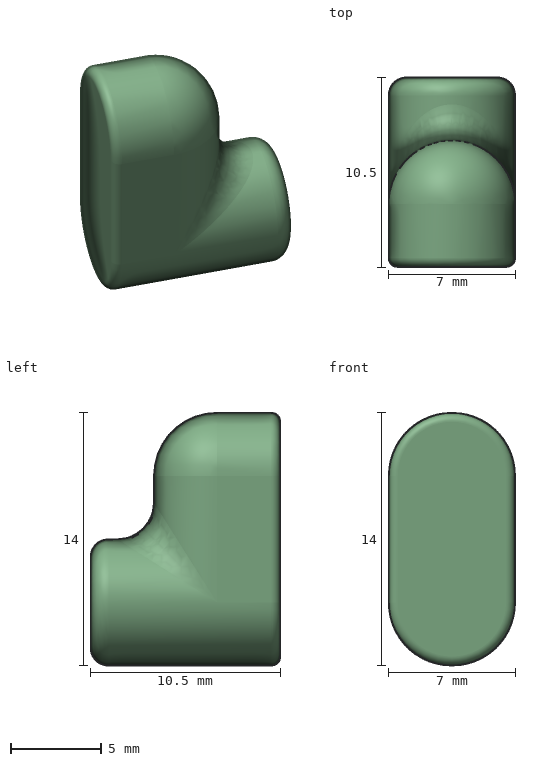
import cadquery as cq

width = 7.0
height = 14.0
depth = 10.5
plate_depth = 3.5
front_round = 0.5
back_round = 1.0
neck_round = 2.0

radius = width / 2
lower_z = radius
upper_z = height - radius


def front_plate():
    """Upright obround plate with its front face at Y = 0."""
    plate = (
        cq.Workplane("XZ", origin=(0, 0, height / 2))
        .slot2D(height, width, 90)
        .extrude(-plate_depth)
    )
    return plate.faces("<Y").edges().fillet(front_round)


def lower_barrel():
    """Horizontal cylinder behind the plate with a rounded end and its seam at the bottom."""
    barrel = (
        cq.Workplane("XZ", origin=(0, plate_depth, lower_z))
        .circle(radius)
        .extrude(-(depth - plate_depth))
    )
    barrel = barrel.rotate((0, 0, lower_z), (0, 1, lower_z), 90)
    return barrel.faces(">Y").edges().fillet(back_round)


def upright_back():
    """Vertical half-cylinder closed by a quarter sphere, rounding the back of the plate."""
    column = (
        cq.Workplane("XY", origin=(0, plate_depth, lower_z))
        .circle(radius)
        .extrude(upper_z - lower_z)
    )
    dome = cq.Workplane("XY", origin=(0, plate_depth, upper_z)).sphere(radius)
    behind_plate = cq.Workplane("XY").box(width, radius, height, centered=(True, False, False))
    return column.union(dome).intersect(behind_plate.translate((0, plate_depth, 0)))


def blend_neck(body):
    """Fillet the inside corner where the upright meets the lower barrel."""
    middle = plate_depth + radius
    corner = cq.selectors.NearestToPointSelector((0, middle, lower_z + radius))
    return body.edges("%ELLIPSE").edges(corner).fillet(neck_round)


body = front_plate().union(lower_barrel()).union(upright_back())
result = blend_neck(body)